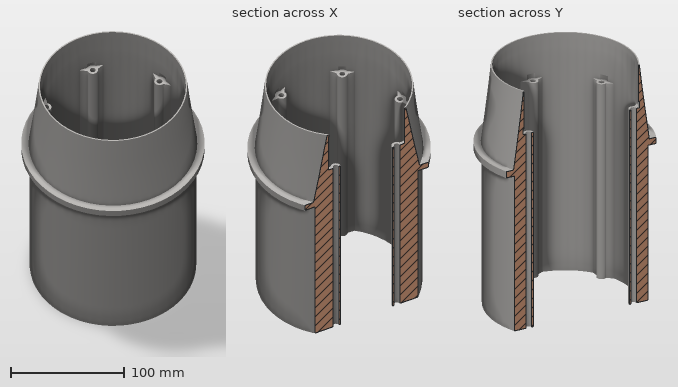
import cadquery as cq

total_height = 233.2
flange_radius = 81.0
flange_bottom = 151.8
flange_thickness = 6.5
flange_top = flange_bottom + flange_thickness
tube_radius = 73.5

collar_base_radius = 74.5
collar_mid_radius = 69.7
collar_top_radius = 65.5
collar_mid_height = (flange_top + total_height) / 2

bore_radius = 64.4

boss_count = 6
boss_circle_radius = 60.5
boss_radius = 4.7
boss_top = 191.0
screw_hole_radius = 2.5
web_outer_y = 65.3
flare_mid_x = 7.0
flare_mid_y = 61.5
web_half_width = 11.0
web_edge_y = 63.5
pocket_radius = 5.5
pocket_height = 5.1


def make_shell():
    """Revolved tube, flange and gently curved collar."""
    return (
        cq.Workplane("XZ")
        .moveTo(bore_radius, 0)
        .lineTo(tube_radius, 0)
        .lineTo(tube_radius, flange_bottom)
        .lineTo(flange_radius, flange_bottom)
        .lineTo(flange_radius, flange_top)
        .lineTo(collar_base_radius, flange_top)
        .threePointArc((collar_mid_radius, collar_mid_height), (collar_top_radius, total_height))
        .lineTo(bore_radius, total_height)
        .close()
        .revolve(360, (0, 0, 0), (0, 1, 0))
    )


def make_boss():
    """Round boss on the +Y side, flared into the wall by two concave webs."""
    web = (
        cq.Workplane("XY")
        .moveTo(-boss_radius, boss_circle_radius)
        .lineTo(boss_radius, boss_circle_radius)
        .threePointArc((flare_mid_x, flare_mid_y), (web_half_width, web_edge_y))
        .threePointArc((0, web_outer_y), (-web_half_width, web_edge_y))
        .threePointArc((-flare_mid_x, flare_mid_y), (-boss_radius, boss_circle_radius))
        .close()
        .extrude(boss_top)
    )
    barrel = cq.Workplane("XY").center(0, boss_circle_radius).circle(boss_radius).extrude(boss_top)
    return web.union(barrel)


def cylinders_at_bosses(radius, height):
    """One upright cylinder on the axis of every boss."""
    return (
        cq.Workplane("XY")
        .polarArray(boss_circle_radius, 90, 360, boss_count)
        .circle(radius)
        .extrude(height)
    )


result = make_shell()
for index in range(boss_count):
    result = result.union(make_boss().rotate((0, 0, 0), (0, 0, 1), index * 360 / boss_count))

screw_holes = cylinders_at_bosses(screw_hole_radius, boss_top)
head_pockets = cylinders_at_bosses(pocket_radius, pocket_height).translate((0, 0, boss_top))
result = result.cut(screw_holes).cut(head_pockets)